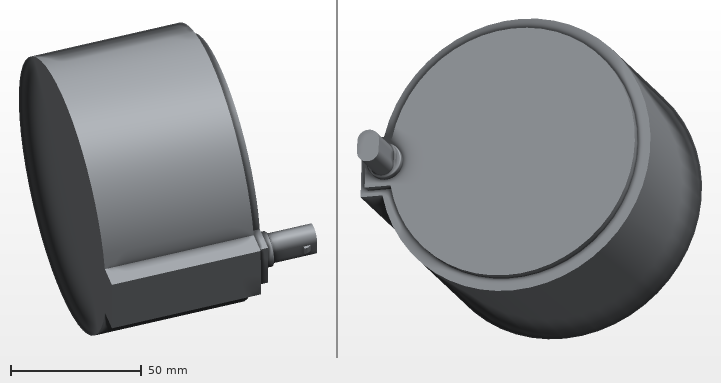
import cadquery as cq

HOUSING_RADIUS = 55.0
HOUSING_DEPTH = 60.0
LUG_REACH = 62.6
LUG_HEIGHT = 23.8

PLATE_RADIUS = 50.0
PLATE_THICKNESS = 3.9
PLATE_LUG_REACH = 59.7
PLATE_LUG_HEIGHT = 19.0

STEM_OFFSET = 51.2
COLLAR_DIAMETER = 14.0
COLLAR_HEIGHT = 3.0
COLLAR_ROUND = 0.5

STEM_WIDTH = 8.8
STEM_HEIGHT = 12.7
STEM_LENGTH = 18.1
STEM_CORNER_RADIUS = 4.2
STEM_ROOT_FLARE = 0.6
FLARE_ANGLE = 45

CATCH_PROJECTION = 1.2
CATCH_RAMP_LENGTH = 1.9
CATCH_LAND_LENGTH = 1.2
CATCH_WIDTH = 3.0
CATCH_TIP_GAP = 2.4

TILT_ABOUT_X = -0.5
TILT_ABOUT_Y = -1.8
TILT_ABOUT_Z = -0.8

PLATE_START = HOUSING_DEPTH
COLLAR_START = PLATE_START + PLATE_THICKNESS
STEM_START = COLLAR_START + COLLAR_HEIGHT
STEM_TIP = STEM_START + STEM_LENGTH


def cross_section(station, x_offset=0.0):
    """Workplane across the axis: its local x is +Z, its local y is +X, its normal is +Y."""
    return cq.Workplane(cq.Plane((x_offset, station, 0), (0, 0, 1), (0, 1, 0)))


def disc_with_lug(station, thickness, radius, lug_reach, lug_height):
    """Round disc with one rectangular lug towards +X."""
    disc = cross_section(station).circle(radius).extrude(thickness)
    lug = (
        cross_section(station)
        .center(0, lug_reach / 2)
        .rect(lug_height, lug_reach)
        .extrude(thickness)
    )
    return disc.union(lug)


def make_housing():
    """Main drum, standing on the plane y = 0 with its lug."""
    return disc_with_lug(0, HOUSING_DEPTH, HOUSING_RADIUS, LUG_REACH, LUG_HEIGHT)


def make_plate():
    """Thin plate on the back of the housing, with a smaller outline of the same shape."""
    return disc_with_lug(PLATE_START, PLATE_THICKNESS, PLATE_RADIUS, PLATE_LUG_REACH, PLATE_LUG_HEIGHT)


def make_collar():
    """Round collar on the plate, with its outer rim rounded."""
    collar = cross_section(COLLAR_START, STEM_OFFSET).circle(COLLAR_DIAMETER / 2).extrude(COLLAR_HEIGHT)
    return collar.faces(">Y").edges().fillet(COLLAR_ROUND)


def stem_profile(station, growth=0.0):
    """Rounded rectangle of the stem, grown outwards all round."""
    return (
        cross_section(station, STEM_OFFSET)
        .sketch()
        .rect(STEM_HEIGHT + 2 * growth, STEM_WIDTH + 2 * growth)
        .vertices()
        .fillet(STEM_CORNER_RADIUS + growth)
        .finalize()
    )


def make_stem():
    """Straight stem with a 45 degree flare where it stands on the collar."""
    stem = stem_profile(STEM_START).extrude(STEM_LENGTH)
    foot = stem_profile(STEM_START, STEM_ROOT_FLARE).extrude(STEM_ROOT_FLARE, taper=FLARE_ANGLE)
    return stem.union(foot)


def make_catch():
    """Ramped catch on the +X flat of the stem, rising away from the stem tip to a short land."""
    flat_x = STEM_OFFSET + STEM_WIDTH / 2
    ramp_start = STEM_TIP - CATCH_TIP_GAP
    ramp_end = ramp_start - CATCH_RAMP_LENGTH
    land_end = ramp_end - CATCH_LAND_LENGTH
    return (
        cq.Workplane("XY", origin=(0, 0, -CATCH_WIDTH / 2))
        .moveTo(flat_x, ramp_start)
        .lineTo(flat_x + CATCH_PROJECTION, ramp_end)
        .lineTo(flat_x + CATCH_PROJECTION, land_end)
        .lineTo(flat_x, land_end)
        .close()
        .extrude(CATCH_WIDTH)
    )


def tilt(body):
    """Turn a body about X, then Y, then Z."""
    return (
        body
        .rotate((0, 0, 0), (1, 0, 0), TILT_ABOUT_X)
        .rotate((0, 0, 0), (0, 1, 0), TILT_ABOUT_Y)
        .rotate((0, 0, 0), (0, 0, 1), TILT_ABOUT_Z)
    )


housing = tilt(make_housing())
plate = tilt(make_plate())
collar = tilt(make_collar())
stem = tilt(make_stem())
catch = tilt(make_catch())

result = cq.Compound.makeCompound([housing.val(), plate.val(), collar.val(), stem.val(), catch.val()])